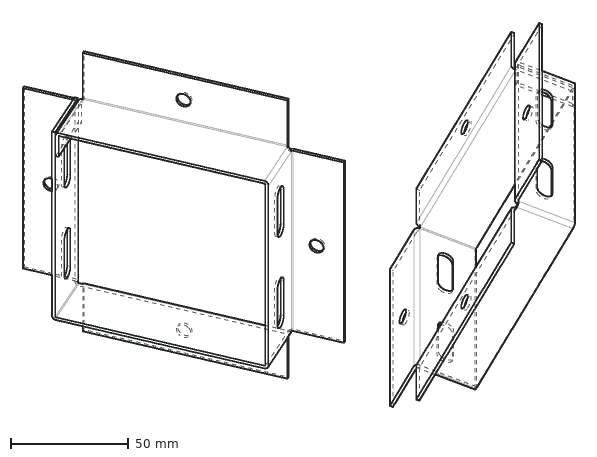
import cadquery as cq

overall_size = 147.0
overall_depth = 28.5

thickness = 1.5
inner_bend = 0.5
outer_bend = inner_bend + thickness

frame_half = 49.5
inner_half = frame_half - thickness
front_y = -overall_depth / 2
back_y = overall_depth / 2
wall_back_y = back_y - outer_bend
wall_depth = wall_back_y - front_y

tab_end_z = 37.0
tab_gap = 0.07
tab_left = -inner_half + tab_gap
tab_right = tab_left + thickness

flange_end = frame_half - outer_bend
tab_side_end = -tab_left - outer_bend
flange_hole_diameter = 6.5
flange_hole_offset = 60.8

slot_length = 25.4
slot_width = 7.2
slot_offset_z = 24.1


def xz_box(x_min, x_max, z_min, z_max):
    """Box over the depth of the frame walls."""
    return cq.Workplane("XY").box(
        x_max - x_min, wall_depth, z_max - z_min, centered=False
    ).translate((x_min, front_y, z_min))


def make_frame():
    """Wrapped strip: square end at the top of the left wall, tab at the other end."""
    loop = xz_box(-frame_half, frame_half, -frame_half, frame_half)
    loop = loop.edges("|Y").edges("<Z or >X").fillet(outer_bend)
    opening = xz_box(-inner_half, inner_half, -inner_half, inner_half)
    opening = opening.edges("|Y").edges("<Z or >X").fillet(inner_bend)
    left_wall_end = xz_box(-frame_half, -inner_half, 0, frame_half)

    tab_blank = xz_box(tab_left, 0, tab_end_z, frame_half)
    tab_blank = tab_blank.edges("|Y and <X and >Z").fillet(outer_bend)
    tab_space = xz_box(tab_right, 0, tab_end_z, inner_half)
    tab_space = tab_space.edges("|Y and <X and >Z").fillet(inner_bend)
    tab = tab_blank.cut(tab_space)

    corner_waste = xz_box(-inner_half, 0, tab_end_z, frame_half)
    return loop.cut(opening).cut(corner_waste).union(left_wall_end).union(tab)


def make_flange(z_min, z_max):
    """Right-hand flange with its bend from the frame wall and its mounting hole."""
    bend_end_x = inner_half + outer_bend
    flange = (
        cq.Workplane("XY")
        .workplane(offset=z_min)
        .moveTo(inner_half, wall_back_y)
        .radiusArc((bend_end_x, back_y), outer_bend)
        .lineTo(overall_size / 2, back_y)
        .lineTo(overall_size / 2, back_y - thickness)
        .lineTo(bend_end_x, back_y - thickness)
        .radiusArc((frame_half, wall_back_y), -inner_bend)
        .close()
        .extrude(z_max - z_min)
    )
    hole = (
        cq.Workplane("XZ")
        .center(flange_hole_offset, 0)
        .circle(flange_hole_diameter / 2)
        .extrude(overall_depth, both=True)
    )
    return flange.cut(hole)


def make_slots():
    """Cutters through both side walls."""
    return (
        cq.Workplane("YZ")
        .pushPoints([(0, -slot_offset_z), (0, slot_offset_z)])
        .slot2D(slot_length, slot_width, 90)
        .extrude(overall_size / 2, both=True)
    )


result = make_frame()
flange_spans = [
    (0, -flange_end, flange_end),
    (90, -tab_side_end, flange_end),
    (180, -flange_end, flange_end),
    (270, -flange_end, tab_side_end),
]
for angle, z_min, z_max in flange_spans:
    result = result.union(make_flange(z_min, z_max).rotate((0, 0, 0), (0, 1, 0), angle))
result = result.cut(make_slots())